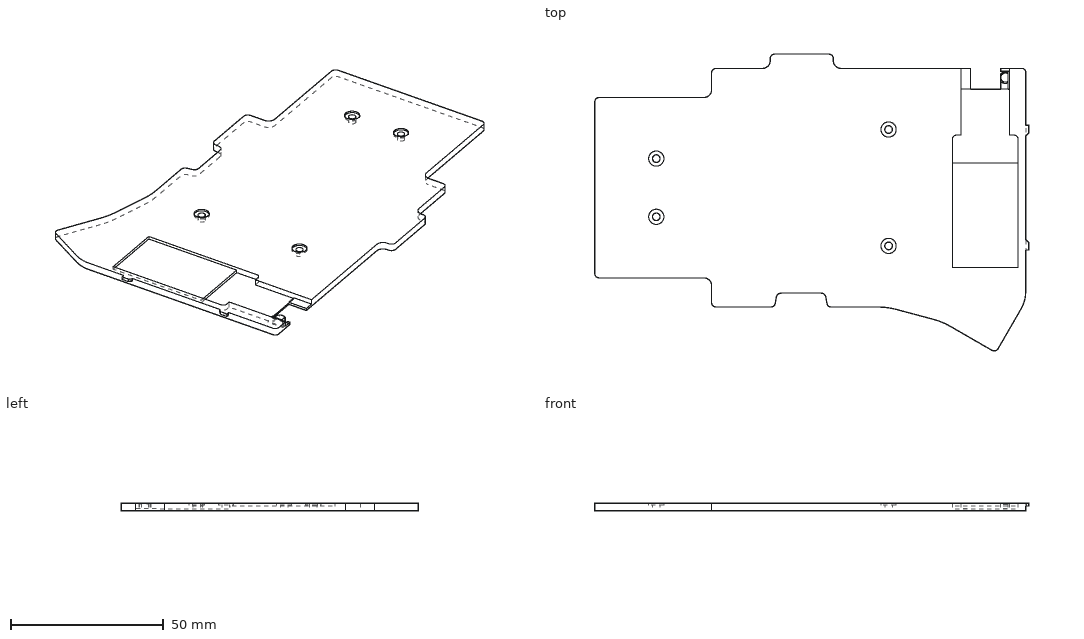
import cadquery as cq
import math


length = 142.0
thickness = 2.5
tab_reach = 1.0
body_right = length - tab_reach
neck_length = 38.2
neck_half_width = 29.5
body_half_width = 39.0
outer_radius = 1.5
inner_radius = 2.4
end_corner_radius = 1.3

tongue_left = 57.4
tongue_right = 78.1
tongue_height = 4.7
notch_left = 57.5
notch_right = 77.5
notch_depth = 4.5
notch_flank_run = 3.5
notch_flank_bulge = 3.0

sweep_start_x = 95.7
first_slope = math.tan(math.radians(15))
second_slope = math.tan(math.radians(30))
tip_side_slope = math.tan(math.radians(60))
tip_x = 131.3
front_limit = -53.4
sweep_radius = 22.7
side_bend_radius = 11.4

screw_diameter = 2.4
screw_head_diameter = 5.0
screw_head_depth = 0.5
left_screw_x = 20.2
left_screw_offset = 9.5
right_screw_x = 96.2
right_screw_offset = 19.0

tab_inner_offset = 17.0
tab_outer_offset = 20.5
tab_thickness = 1.0
tab_chamfer = 0.9

pocket_left = 117.0
pocket_right = 138.5
pocket_front = -26.1
pocket_step = 8.1
pocket_shoulder = 17.2
pocket_corner_radius = 1.3
channel_left = 119.9
channel_right = 135.7
shallow_depth = 1.0
deep_depth = 2.0

opening_left = 123.0
opening_right = 132.8
opening_front = 32.2
ledge_height = 0.9

arm_gap = 0.4
pin_gap = 0.1
rail_width = 1.0
pin_diameter = 3.8
pin_chamfer = 0.4
pin_x = 134.4
pin_y = body_half_width - rail_width - pin_gap - pin_diameter / 2


def rounded_outline(corners):
    """Closed wire through (x, y, radius) corners, each rounded by a tangent arc."""
    wire = None
    count = len(corners)
    for i, (x, y, radius) in enumerate(corners):
        corner = cq.Vector(x, y)
        back = (cq.Vector(*corners[i - 1][:2]) - corner).normalized()
        ahead = (cq.Vector(*corners[(i + 1) % count][:2]) - corner).normalized()
        half_angle = back.getAngle(ahead) / 2
        setback = radius / math.tan(half_angle)
        arc_start = corner + back * setback
        if wire is None:
            wire = cq.Workplane().moveTo(arc_start.x, arc_start.y)
        else:
            wire = wire.lineTo(arc_start.x, arc_start.y)
        if radius > 0:
            arc_end = corner + ahead * setback
            to_middle = radius / math.sin(half_angle) - radius
            middle = corner + (back + ahead).normalized() * to_middle
            wire = wire.threePointArc((middle.x, middle.y), (arc_end.x, arc_end.y))
    return wire.close()


def block(x_min, x_max, y_min, y_max, z_min, z_max):
    size = (x_max - x_min, y_max - y_min, z_max - z_min)
    return cq.Workplane().box(*size, centered=False).translate((x_min, y_min, z_min))


def make_plate():
    tip_y = front_limit - outer_radius * (math.cos(math.pi / 6) + math.sin(math.pi / 6) - 1)
    sweep_run = tip_x - sweep_start_x
    sweep_drop = -body_half_width - tip_y
    first_run = (sweep_run * second_slope - sweep_drop) / (second_slope - first_slope)
    bend_x = sweep_start_x + first_run
    bend_y = -body_half_width - first_run * first_slope
    side_bend_y = tip_y + (body_right - tip_x) * tip_side_slope
    tongue_top = body_half_width + tongue_height
    return rounded_outline([
        (0, neck_half_width, outer_radius),
        (0, -neck_half_width, outer_radius),
        (neck_length, -neck_half_width, inner_radius),
        (neck_length, -body_half_width, outer_radius),
        (sweep_start_x, -body_half_width, sweep_radius),
        (bend_x, bend_y, sweep_radius),
        (tip_x, tip_y, outer_radius),
        (body_right, side_bend_y, side_bend_radius),
        (body_right, body_half_width, end_corner_radius),
        (tongue_right, body_half_width, inner_radius),
        (tongue_right, tongue_top, outer_radius),
        (tongue_left, tongue_top, outer_radius),
        (tongue_left, body_half_width, inner_radius),
        (neck_length, body_half_width, outer_radius),
        (neck_length, neck_half_width, inner_radius),
    ]).extrude(thickness)


def make_notch():
    """Space removed by the front notch; each flank is an S-curve level at both ends."""
    bottom = -body_half_width
    top = bottom + notch_depth
    top_left = notch_left + notch_flank_run
    top_right = notch_right - notch_flank_run
    left_flank = [
        (notch_left, bottom),
        (notch_left + notch_flank_bulge, bottom),
        (top_left - notch_flank_bulge, top),
        (top_left, top),
    ]
    right_flank = [
        (top_right, top),
        (top_right + notch_flank_bulge, top),
        (notch_right - notch_flank_bulge, bottom),
        (notch_right, bottom),
    ]
    return (
        cq.Workplane()
        .bezier(left_flank)
        .lineTo(*right_flank[0])
        .bezier(right_flank)
        .close()
        .extrude(thickness)
    )


def make_tab(side):
    """Tab on the upper part of the right edge, chamfered on the edge facing Y = 0."""
    outer_y = side * tab_outer_offset
    inner_y = side * tab_inner_offset
    return (
        cq.Workplane(origin=(0, 0, thickness - tab_thickness))
        .moveTo(pocket_right, outer_y)
        .lineTo(length, outer_y)
        .lineTo(length, inner_y + side * tab_chamfer)
        .lineTo(length - tab_chamfer, inner_y)
        .lineTo(pocket_right, inner_y)
        .close()
        .extrude(tab_thickness)
    )


def make_pocket():
    """Space removed by the pocket: shallow at the front, deep behind the step."""
    outline = rounded_outline([
        (pocket_left, pocket_front, 0),
        (pocket_right, pocket_front, 0),
        (pocket_right, pocket_shoulder, pocket_corner_radius),
        (channel_right, pocket_shoulder, 0),
        (channel_right, opening_front, 0),
        (channel_left, opening_front, 0),
        (channel_left, pocket_shoulder, 0),
        (pocket_left, pocket_shoulder, pocket_corner_radius),
    ]).extrude(thickness)
    below_floor = block(
        pocket_left, pocket_right, pocket_front, opening_front, 0, thickness - deep_depth
    )
    below_shallow_floor = block(
        pocket_left, pocket_right, pocket_front, pocket_step, 0, thickness - shallow_depth
    )
    return outline.cut(below_floor).cut(below_shallow_floor)


def cut_opening(plate):
    above_ledges = block(
        channel_left, channel_right, opening_front, body_half_width, ledge_height, thickness
    )
    opening = block(opening_left, opening_right, opening_front, body_half_width, 0, thickness)
    return plate.cut(above_ledges).cut(opening)


def add_latch_arm(plate):
    """Free the arm from the ledge, then add its round end and upright pin."""
    arm_right = channel_right - arm_gap
    rail_front = body_half_width - rail_width
    clearance = block(opening_right, channel_right, opening_front, rail_front, 0, thickness)
    arm = block(opening_right, arm_right, opening_front, pin_y, 0, ledge_height)
    pin = (
        cq.Workplane()
        .center(pin_x, pin_y)
        .circle(pin_diameter / 2)
        .extrude(thickness)
        .faces(">Z")
        .chamfer(pin_chamfer)
    )
    arm_space = block(opening_right, arm_right, opening_front, rail_front, 0, thickness)
    return plate.cut(clearance).union(arm).union(pin.intersect(arm_space))


def cut_screw_holes(plate):
    for x, offset in ((left_screw_x, left_screw_offset), (right_screw_x, right_screw_offset)):
        plate = (
            plate.faces(">Z")
            .workplane(origin=(0, 0, thickness))
            .pushPoints([(x, offset), (x, -offset)])
            .cboreHole(screw_diameter, screw_head_diameter, screw_head_depth)
        )
    return plate


plate = make_plate().cut(make_notch())
for side in (1, -1):
    plate = plate.union(make_tab(side))
plate = plate.cut(make_pocket())
plate = cut_opening(plate)
plate = add_latch_arm(plate)
result = cut_screw_holes(plate)